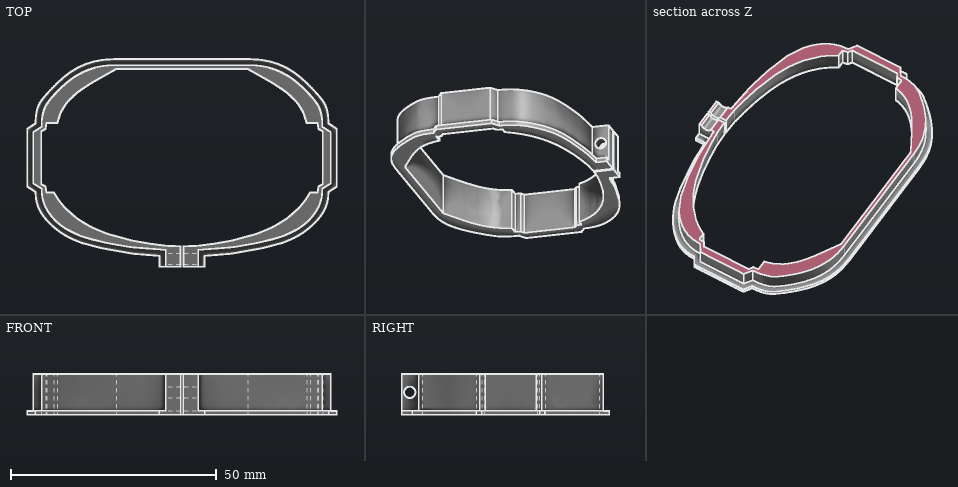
import cadquery as cq
import math

overall_width = 75.27
back_y = 24.0
front_y = -26.5
height = 10.0

flange_thickness = 1.0
flange_lip = 1.5
rim_thickness = 1.0
wall_back_y = back_y - flange_lip
opening_back_y = wall_back_y - rim_thickness
back_straight_half = 16.0

tab_half_width = overall_width / 2 - flange_lip
tab_thickness = 2.0
tab_opening_x = tab_half_width - tab_thickness
tab_half_length = 6.2
side_x = 34.1
side_y = 7.5
opening_tab_half_length = 6.4
opening_shoulder_y = 7.0
opening_shoulder_x = side_x - rim_thickness
pad_end_y = 8.4
pad_end_x = 32.9
back_pad_x = 30.25
front_pad_x = 31.1

lug_half_width = 4.0
lug_root_y = -22.37
lug_root_normal = -86
opening_lug_y = -21.35
opening_front_y = -21.5
slot_width = 0.65
screw_diameter = 2.7
screw_y = front_y + 2.0
screw_z = flange_thickness + (height - flange_thickness) / 2

back_knots = [
    (back_straight_half, wall_back_y, 90),
    (26.5, 19.4, 58),
    (32.0, 14.2, 33),
]
front_knots = [
    (31.55, -14.4, -44),
    (24.5, -19.05, -69),
    (14.0, -21.45, -80),
]

opening_back_curve = [(22.3, 17.95), (28.1, 13.2)]
opening_front_curve = [(25.4, -14.8), (18.3, -18.4)]


def add_curve(outline, knots, offset):
    """Continue an outline to the first knot and along a smooth curve, all moved outward by offset."""
    points = []
    tangents = []
    for x, y, degrees in knots:
        normal = math.radians(degrees)
        points.append((x + offset * math.cos(normal), y + offset * math.sin(normal)))
        tangents.append((math.sin(normal), -math.cos(normal)))
    end_tangents = [tangents[0], tangents[-1]]
    return outline.lineTo(*points[0]).spline(points[1:], tangents=end_tangents, includeCurrent=True)


def outer_body(offset, thickness):
    """Right half of the filled ring outside and its lug, moved outward from the wall by offset."""
    edge_normal = math.atan2(tab_half_width - side_x, side_y - tab_half_length)
    mitre_shift = offset * math.tan(edge_normal / 2)
    tab_x = tab_half_width + offset
    tab_y = tab_half_length + mitre_shift
    back_end_knot = (side_x, side_y + mitre_shift, 0)
    front_start_knot = (side_x, -side_y - mitre_shift, 0)

    lug_x = lug_half_width + offset
    lug_root_x = lug_x - offset * math.cos(math.radians(lug_root_normal))
    lug_knot = (lug_root_x, lug_root_y, lug_root_normal)

    outline = cq.Workplane("XY").moveTo(0, wall_back_y + offset)
    outline = add_curve(outline, back_knots + [back_end_knot], offset)
    outline = outline.lineTo(tab_x, tab_y).lineTo(tab_x, -tab_y)
    outline = add_curve(outline, [front_start_knot] + front_knots + [lug_knot], offset)
    outline = outline.lineTo(lug_x, front_y).lineTo(0, front_y)
    return outline.close().extrude(thickness)


def half_opening():
    """Right half of the opening through the ring."""
    return (
        cq.Workplane("XY")
        .moveTo(0, opening_back_y)
        .lineTo(back_straight_half, opening_back_y)
        .spline(opening_back_curve + [(back_pad_x, pad_end_y)], includeCurrent=True)
        .lineTo(pad_end_x, pad_end_y)
        .lineTo(opening_shoulder_x, opening_shoulder_y)
        .lineTo(tab_opening_x, opening_tab_half_length)
        .lineTo(tab_opening_x, -opening_tab_half_length)
        .lineTo(opening_shoulder_x, -opening_shoulder_y)
        .lineTo(pad_end_x, -pad_end_y)
        .lineTo(front_pad_x, -pad_end_y)
        .spline(opening_front_curve + [(lug_half_width, opening_lug_y)], includeCurrent=True)
        .lineTo(0, opening_front_y)
        .close()
        .extrude(height)
    )


def half_ring():
    """Right half of the wall and its flange, without slot or screw hole."""
    wall = outer_body(0, height)
    flange = outer_body(flange_lip, flange_thickness)
    return wall.union(flange).cut(half_opening())


def clamp_slot():
    """Gap between the two lugs, running back into the opening."""
    slot_length = abs(front_y)
    return cq.Workplane("XY").box(
        slot_width, slot_length, height, centered=(True, False, False)
    ).translate((0, front_y, 0))


def screw_hole():
    """Clamp screw hole along X through both lugs."""
    return (
        cq.Workplane("YZ")
        .center(screw_y, screw_z)
        .circle(screw_diameter / 2)
        .extrude(lug_half_width + flange_lip, both=True)
    )


right_half = half_ring()
ring = right_half.union(right_half.mirror("YZ"))
result = ring.cut(clamp_slot()).cut(screw_hole())